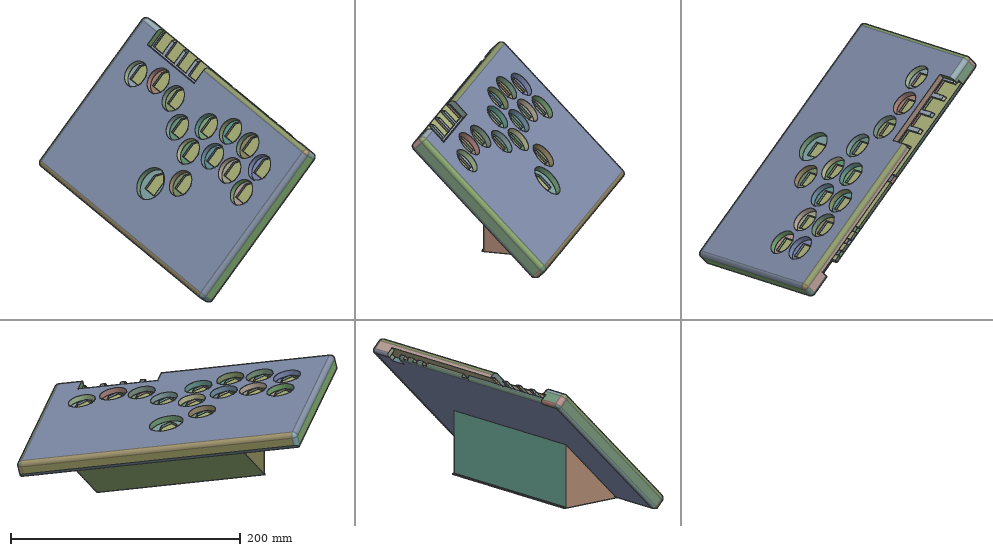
import cadquery as cq
import math

TILT = 45
WIDTH = 256
LENGTH = 160.0
THICKNESS = 15.0
FACE_RADIUS = 4.0
BACK_RADIUS = 2.5
BOARD_DROP = 2.8

WALL = 4.0
CAVITY_DEPTH = 8.0
WEB = 2.0
WEB_TOP = CAVITY_DEPTH + WEB
PORT_WIDTH = 211.0

COLUMN_PITCH = 27.0
BUTTON_ROW_PITCH = 27.0
BUTTON_DIAMETER = 24.0
THUMB_DIAMETER = 30.0
SWITCH_SIZE = 14.0
LEFT_COLUMN_X = -93.5
LEFT_HAND = [
    (LEFT_COLUMN_X, 115.7),
    (LEFT_COLUMN_X + COLUMN_PITCH, 123.6),
    (LEFT_COLUMN_X + 2 * COLUMN_PITCH, 120.0),
    (-15.4, 103.0),
]
RIGHT_COLUMN_X = 12.3
RIGHT_ROWS = 2
RIGHT_UPPER_ROW = [119.5, 129.8, 129.8, 121.5]
RIGHT_HAND = [
    (RIGHT_COLUMN_X + column * COLUMN_PITCH, upper - row * BUTTON_ROW_PITCH)
    for column, upper in enumerate(RIGHT_UPPER_ROW)
    for row in range(RIGHT_ROWS)
]
SMALL_THUMB = (27.5, 66.8)
LARGE_THUMB = (-1.5, 50.0)
SMALL_BUTTONS = LEFT_HAND + RIGHT_HAND + [SMALL_THUMB]

BAY_X = -66.3
BAY_WIDTH = 72.7
BAY_LENGTH = 18.2
KEY_COUNT = 4
KEY_PITCH = 18.2
KEY_SLOT_LENGTH = 16.5

LID_THICKNESS = 4.0
CABLE_NOTCH_START = 89.5
CABLE_NOTCH_LENGTH = 9.0
LID_RECESS_DEPTH = 3.0
LID_RECESS_LENGTH = 5
LID_RECESSES = [(0, 7.7), (55.8, 5), (68.9, 5), (81.5, 5)]

STAND_WIDTH = 153.5
STAND_GAP = 0.8
STAND_BACK = 61.0
FOOT_OVERHANG = 1.5
FOOT_THICKNESS = 1.0


def box(x_min, x_max, y_min, y_max, z_min, z_max):
    size = (x_max - x_min, y_max - y_min, z_max - z_min)
    return cq.Workplane("XY").box(*size, centered=False).translate((x_min, y_min, z_min))


def outer_block():
    """Rounded outside shape that the case and the lid share."""
    block = box(-WIDTH / 2, WIDTH / 2, 0, LENGTH, 0, THICKNESS)
    block = block.edges("|Z or >Z").fillet(FACE_RADIUS)
    return block.faces("<Z").edges().fillet(BACK_RADIUS)


def back_cavity(depth):
    """Space inside the walls plus the port through the upper wall, measured from the back."""
    inside = box(-WIDTH / 2 + WALL, WIDTH / 2 - WALL, WALL, LENGTH - WALL, 0, depth)
    port = box(-PORT_WIDTH / 2, PORT_WIDTH / 2, LENGTH - 2 * WALL, LENGTH, 0, depth)
    return inside.union(port)


def switch_cutout(centre):
    """Square switch hole with a pointed upper end, through the web."""
    half = SWITCH_SIZE / 2
    return (
        cq.Workplane("XY", origin=(*centre, CAVITY_DEPTH))
        .polyline([(-half, -half), (half, -half), (half, half), (0, 2 * half), (-half, half)])
        .close()
        .extrude(WEB)
    )


def button_recess(centre, diameter):
    recess = cq.Workplane("XY", origin=(*centre, WEB_TOP)).circle(diameter / 2)
    return recess.extrude(THICKNESS - WEB_TOP)


def function_key_bay():
    """Notch in the upper edge, with open slots for the keys in the web below it."""
    bay = box(
        BAY_X - BAY_WIDTH / 2, BAY_X + BAY_WIDTH / 2,
        LENGTH - BAY_LENGTH, LENGTH,
        WEB_TOP, THICKNESS,
    )
    for key in range(KEY_COUNT):
        slot_x = BAY_X + (key - (KEY_COUNT - 1) / 2) * KEY_PITCH
        slot = box(
            slot_x - SWITCH_SIZE / 2, slot_x + SWITCH_SIZE / 2,
            LENGTH - KEY_SLOT_LENGTH, LENGTH,
            CAVITY_DEPTH, WEB_TOP,
        )
        bay = bay.union(slot)
    return bay.union(finger_bevel())


def finger_bevel():
    """Bevel on the ends of the fingers between the key slots."""
    return (
        cq.Workplane("YZ", origin=(BAY_X - BAY_WIDTH / 2, 0, 0))
        .polyline([(LENGTH, CAVITY_DEPTH), (LENGTH, WEB_TOP), (LENGTH - WEB, WEB_TOP)])
        .close()
        .extrude(BAY_WIDTH)
    )


def make_case():
    case = outer_block().cut(back_cavity(CAVITY_DEPTH))
    for centre in SMALL_BUTTONS:
        case = case.cut(button_recess(centre, BUTTON_DIAMETER)).cut(switch_cutout(centre))
    case = case.cut(button_recess(LARGE_THUMB, THUMB_DIAMETER)).cut(switch_cutout(LARGE_THUMB))
    return case.cut(function_key_bay())


def make_lid():
    """Floor that closes the back; its tab fills the port up to the cable notch."""
    lid = outer_block().intersect(back_cavity(LID_THICKNESS))
    cable_notch = box(
        CABLE_NOTCH_START, PORT_WIDTH / 2,
        LENGTH - CABLE_NOTCH_LENGTH, LENGTH,
        0, LID_THICKNESS,
    )
    lid = lid.cut(cable_notch)
    for recess_x, recess_width in LID_RECESSES:
        recess = box(
            recess_x - recess_width / 2, recess_x + recess_width / 2,
            LENGTH - LID_RECESS_LENGTH, LENGTH,
            LID_THICKNESS - LID_RECESS_DEPTH, LID_THICKNESS,
        )
        lid = lid.cut(recess)
    return lid


def tilted(body):
    """Lean the board back and trim its lower edge flat on the ground."""
    leaning = body.rotate((0, 0, 0), (1, 0, 0), TILT).translate((0, 0, -BOARD_DROP))
    ground = box(-WIDTH, WIDTH, -WIDTH, WIDTH, -WIDTH, 0)
    return leaning.cut(ground).solids()


def make_stand():
    """Wedge behind the board on a thin foot that reaches the back of the board."""
    slope = math.tan(math.radians(TILT))

    def board_back(height):
        """Y of the back of the board at a height above the ground."""
        return (height + BOARD_DROP) / slope

    wedge_height = (STAND_BACK - STAND_GAP) * slope - BOARD_DROP
    profile = [
        (board_back(0), 0),
        (STAND_BACK + FOOT_OVERHANG, 0),
        (STAND_BACK + FOOT_OVERHANG, FOOT_THICKNESS),
        (STAND_BACK, FOOT_THICKNESS),
        (STAND_BACK, wedge_height),
        (board_back(FOOT_THICKNESS) + STAND_GAP, FOOT_THICKNESS),
        (board_back(FOOT_THICKNESS), FOOT_THICKNESS),
    ]
    return cq.Workplane("YZ").polyline(profile).close().extrude(STAND_WIDTH / 2, both=True)


case = tilted(make_case())
lid = tilted(make_lid())
stand = make_stand()

result = cq.Compound.makeCompound([case.val(), lid.val(), stand.val()])